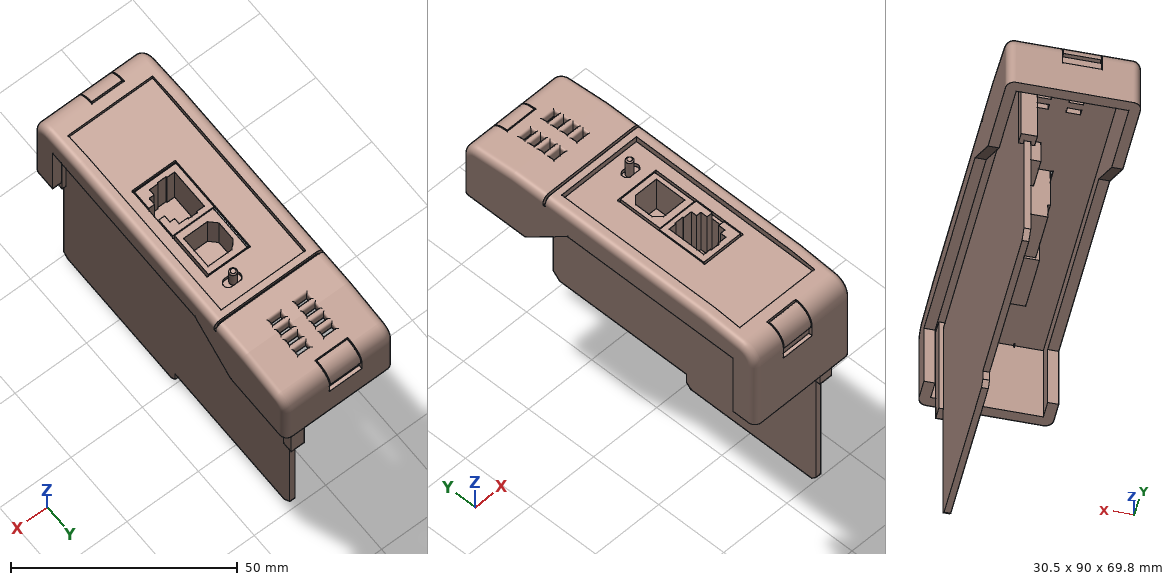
import cadquery as cq
import math


WIDTH = 30.5
LENGTH = 90.0
TOP_Z = 67.3
EDGE_FILLET = 2.0
WALL = 2.5
ROOF_SKIN = 1.0
FRONT_SKIRT_Z = 42.3
BACK_SKIRT_Z = 49.6
SIDE_EDGE_Z = 60.2
FRONT_SKIRT_Y = -38.2
RISE_TOP_Y = 12.7
RISE_BOTTOM_Y = 25.6
FLAT_HALF = 29.8
FRONT_CORNER_Z = 66.1
BACK_CORNER_Z = 65.8
FRONT_RADIUS = 5.0
BACK_RADIUS = 4.05

PANEL_DEPTH = 1.6
PANEL_WIDTH = 23.7
PANEL_BACK_Y = 17.7
PANEL_FRONT_Y = -37.0
PANEL_Z = TOP_Z - PANEL_DEPTH
ROOF_UNDER_Z = PANEL_Z - ROOF_SKIN

GROOVE_FRONT_Y = 19.5
GROOVE_BACK_Y = 20.2
GROOVE_DEPTH = 1.0
GROOVE_BOTTOM_Z = 64.8

CLIP_X = -1.7
CLIP_WIDTH = 9.1
CLIP_GAP = 0.3
CLIP_DEPTH = 1.0
CLIP_WINDOW = 3.15
FRONT_CLIP_Y = -40.0
FRONT_TONGUE_Y = -40.4
BACK_CLIP_Y = 39.9
BACK_TONGUE_Y = BACK_CLIP_Y + CLIP_GAP

WINDOW_LONG = 3.2
WINDOW_SHORT = 1.35
WINDOW_FILLET = 0.5
WINDOW_RIM_DROP = 0.8
WINDOW_MARGIN = 0.1
WINDOW_ROWS = 4
WINDOW_ROW_PITCH = 3.0
WINDOW_FIRST_Y = 35.8
WINDOW_COLUMNS_X = (-3.9, 3.4)

CARD_X = 9.0
CARD_THICKNESS = 1.5
CARD_FRONT_Y = -40.2
CARD_BACK_Y = 40.6
CARD_TOP_Z = 63.0
CARD_STEP_Y = -0.4
CARD_STEP_Z = 4.05
CARD_BACK_CHAMFER = 2.0
CARD_CHAMFER = 1.35

GUIDE_WIDTH = 3.7
GUIDE_OUTER_Y = LENGTH / 2 - WALL
FRONT_GUIDE_THICKNESS = 3.1
BACK_GUIDE_THICKNESS = 2.8
GUIDE_BOTTOM_Z = 35.55

SWITCH_X = 4.9
SWITCH_Y = 12.8
SWITCH_SIZE = 7.3
SWITCH_BOTTOM_Z = 58.3
STEM_X = 4.6
STEM_DIAMETER = 2.0
STEM_TOP_Z = 69.75
STEM_CHAMFER = 0.4
SLOT_LENGTH = 4.8
SLOT_WIDTH = 2.5

OPENING_LEFT_X = -3.3
OPENING_RIGHT_X = 8.8
OPENING_FRONT_Y = -18.0
OPENING_BACK_Y = 8.8

SQUARE_LEFT_X = -2.7
SQUARE_RIGHT_X = 8.2
SQUARE_FRONT_Y = -3.6
SQUARE_BACK_Y = 8.55
SQUARE_BOTTOM_Z = 49.3
SQUARE_STEP_Z = 53.5
SQUARE_STEP = 0.5
SQUARE_PORT_LEFT_X = -1.4
SQUARE_PORT_RIGHT_X = 7.0
SQUARE_PORT_FRONT_Y = -1.8
SQUARE_PORT_BACK_Y = 6.9
SQUARE_PORT_CHAMFER = 1.8
SQUARE_PORT_DEPTH = 9.9

JACK_LEFT_X = -3.1
JACK_RIGHT_X = 8.55
JACK_FRONT_Y = -17.5
JACK_BACK_Y = -3.8
JACK_BOTTOM_Z = 48.9
JACK_PORT_Y = -10.5
JACK_PORT_LEFT_X = -1.4
JACK_PORT_DEPTH = 12.6
JACK_PORT_STEPS = ((0.7, 5.3), (3.15, 5.6), (5.6, 5.3), (6.9, 3.7), (JACK_RIGHT_X, 1.8))


def box(x0, x1, y0, y1, z0, z1):
    """Axis-aligned box between opposite corners."""
    return cq.Workplane("XY").box(x1 - x0, y1 - y0, z1 - z0, centered=False).translate((x0, y0, z0))


def profile_block(inset):
    """Rounded side outline of the housing, moved inwards by `inset`, extruded over its width."""
    half = LENGTH / 2
    corner_points = [
        (-half, FRONT_SKIRT_Z),
        (half, FRONT_SKIRT_Z),
        (half, BACK_CORNER_Z),
        (FLAT_HALF, TOP_Z),
        (-FLAT_HALF, TOP_Z),
        (-half, FRONT_CORNER_Z),
    ]
    block = cq.Workplane("YZ").polyline(corner_points).close().extrude(WIDTH / 2, both=True)
    block = block.edges(cq.NearestToPointSelector((0, -half, FRONT_CORNER_Z))).fillet(FRONT_RADIUS)
    block = block.edges(cq.NearestToPointSelector((0, half, BACK_CORNER_Z))).fillet(BACK_RADIUS)
    if inset:
        outline = block.faces("<X").wires().val().offset2D(-inset)[0]
        block = cq.Workplane(obj=cq.Solid.extrudeLinear(outline, [], cq.Vector(WIDTH, 0, 0)))
    return block


def outer_block():
    """Housing body before hollowing, with both sides rounded off."""
    block = profile_block(0)
    block = block.faces("<X or >X").edges("not(<Z)").fillet(EDGE_FILLET)
    side_opening = [
        (FRONT_SKIRT_Y, 0),
        (FRONT_SKIRT_Y, SIDE_EDGE_Z),
        (RISE_TOP_Y, SIDE_EDGE_Z),
        (RISE_BOTTOM_Y, BACK_SKIRT_Z),
        (LENGTH, BACK_SKIRT_Z),
        (LENGTH, 0),
    ]
    return block.cut(cq.Workplane("YZ").polyline(side_opening).close().extrude(WIDTH, both=True))


def cavity():
    """Hollow inside the walls and under the roof, open at the bottom."""
    x = WIDTH / 2 - WALL
    return box(-x, x, -GUIDE_OUTER_Y, GUIDE_OUTER_Y, 0, ROOF_UNDER_Z)


def guides():
    """Two posts inside the end walls that hold the edges of the card."""
    x0 = CARD_X + CARD_THICKNESS / 2 - GUIDE_WIDTH / 2
    x1 = x0 + GUIDE_WIDTH
    front_inner = -GUIDE_OUTER_Y + FRONT_GUIDE_THICKNESS
    back_inner = GUIDE_OUTER_Y - BACK_GUIDE_THICKNESS
    front = box(x0, x1, -GUIDE_OUTER_Y, front_inner, GUIDE_BOTTOM_Z, ROOF_UNDER_Z)
    back = box(x0, x1, back_inner, GUIDE_OUTER_Y, GUIDE_BOTTOM_Z, ROOF_UNDER_Z)
    return front.union(back)


def panel_recess():
    """Flat-bottomed rectangular recess in the roof."""
    x = PANEL_WIDTH / 2
    return box(-x, x, PANEL_FRONT_Y, PANEL_BACK_Y, PANEL_Z, TOP_Z)


def roof_groove():
    """Narrow groove across the roof that runs a short way down both sides."""
    core_x = WIDTH / 2 - GROOVE_DEPTH
    core = box(-core_x, core_x, GROOVE_FRONT_Y, GROOVE_BACK_Y, 0, TOP_Z - GROOVE_DEPTH)
    core = core.edges("|Y and >Z").fillet(EDGE_FILLET - GROOVE_DEPTH)
    band = box(-WIDTH, WIDTH, GROOVE_FRONT_Y, GROOVE_BACK_Y, GROOVE_BOTTOM_Z, TOP_Z)
    return band.cut(core)


def corner_tangent_z(corner_z, radius):
    """Height where an end rounding runs into the vertical end wall."""
    slope = math.atan((TOP_Z - corner_z) / (LENGTH / 2 - FLAT_HALF))
    return corner_z - radius * math.tan((math.pi / 2 - slope) / 2)


def clip_recess(clip_y, tongue_y, tangent_z):
    """Recess over an end rounding that leaves a flush tongue between narrow gaps."""
    end_y = math.copysign(LENGTH, clip_y)
    x0 = CLIP_X - CLIP_WIDTH / 2
    x1 = CLIP_X + CLIP_WIDTH / 2
    recess = box(x0, x1, min(clip_y, end_y), max(clip_y, end_y), tangent_z - CLIP_WINDOW, TOP_Z)
    tongue = box(x0 + CLIP_GAP, x1 - CLIP_GAP, min(tongue_y, end_y), max(tongue_y, end_y), tangent_z, TOP_Z)
    return recess.cut(tongue).cut(profile_block(CLIP_DEPTH))


def cut_windows(body):
    """Indicator windows through the roof, with rounded rims."""
    centres = [
        (x, WINDOW_FIRST_Y - row * WINDOW_ROW_PITCH)
        for x in WINDOW_COLUMNS_X
        for row in range(WINDOW_ROWS)
    ]
    holes = (
        cq.Workplane("XY").workplane(offset=ROOF_UNDER_Z).pushPoints(centres)
        .rect(WINDOW_LONG, WINDOW_SHORT).extrude(TOP_Z)
    )
    body = body.cut(holes)
    for x, y in centres:
        half_x = WINDOW_LONG / 2 + WINDOW_MARGIN
        half_y = WINDOW_SHORT / 2 + WINDOW_MARGIN
        rim = cq.selectors.BoxSelector(
            (x - half_x, y - half_y, TOP_Z - WINDOW_RIM_DROP), (x + half_x, y + half_y, TOP_Z + WINDOW_MARGIN)
        )
        body = body.edges(rim).fillet(WINDOW_FILLET)
    return body


def make_card():
    """Upright card with bevelled lower corners and a deeper front half."""
    outline = [
        (CARD_FRONT_Y, CARD_TOP_Z),
        (CARD_FRONT_Y, CARD_CHAMFER),
        (CARD_FRONT_Y + CARD_CHAMFER, 0),
        (CARD_STEP_Y - CARD_CHAMFER, 0),
        (CARD_STEP_Y, CARD_CHAMFER),
        (CARD_STEP_Y, CARD_STEP_Z),
        (CARD_BACK_Y - CARD_BACK_CHAMFER, CARD_STEP_Z),
        (CARD_BACK_Y, CARD_STEP_Z + CARD_BACK_CHAMFER),
        (CARD_BACK_Y, CARD_TOP_Z),
    ]
    return cq.Workplane("YZ").workplane(offset=CARD_X).polyline(outline).close().extrude(CARD_THICKNESS)


def make_housing(card):
    """Hollow housing with its openings, and guides slotted for the card."""
    body = outer_block().cut(cavity())
    body = cut_windows(body)
    body = body.cut(panel_recess()).cut(roof_groove())
    front_z = corner_tangent_z(FRONT_CORNER_Z, FRONT_RADIUS)
    back_z = corner_tangent_z(BACK_CORNER_Z, BACK_RADIUS)
    body = body.cut(clip_recess(FRONT_CLIP_Y, FRONT_TONGUE_Y, front_z))
    body = body.cut(clip_recess(BACK_CLIP_Y, BACK_TONGUE_Y, back_z))
    opening = box(
        OPENING_LEFT_X, OPENING_RIGHT_X, OPENING_FRONT_Y, OPENING_BACK_Y, ROOF_UNDER_Z, PANEL_Z
    )
    body = body.cut(opening)
    slot = (
        cq.Workplane("XY").workplane(offset=ROOF_UNDER_Z).center(SWITCH_X, SWITCH_Y)
        .slot2D(SLOT_LENGTH, SLOT_WIDTH).extrude(ROOF_SKIN)
    )
    return body.cut(slot).union(guides().cut(card))


def make_switch():
    """Switch block under the roof with its stem standing through the slot."""
    block = (
        cq.Workplane("XY").workplane(offset=SWITCH_BOTTOM_Z).center(SWITCH_X, SWITCH_Y)
        .rect(SWITCH_SIZE, SWITCH_SIZE).extrude(ROOF_UNDER_Z - SWITCH_BOTTOM_Z)
    )
    stem = (
        cq.Workplane("XY").workplane(offset=SWITCH_BOTTOM_Z).center(STEM_X, SWITCH_Y)
        .circle(STEM_DIAMETER / 2).extrude(STEM_TOP_Z - SWITCH_BOTTOM_Z)
        .faces(">Z").chamfer(STEM_CHAMFER)
    )
    return block.union(stem)


def make_square_socket():
    """Square socket with two bevelled port corners and a narrower lower part."""
    body = box(SQUARE_LEFT_X, SQUARE_RIGHT_X, SQUARE_FRONT_Y, SQUARE_BACK_Y, SQUARE_BOTTOM_Z, PANEL_Z)
    setback = box(
        SQUARE_LEFT_X, SQUARE_LEFT_X + SQUARE_STEP, SQUARE_FRONT_Y, SQUARE_BACK_Y,
        SQUARE_BOTTOM_Z, SQUARE_STEP_Z,
    )
    port = box(
        SQUARE_PORT_LEFT_X, SQUARE_PORT_RIGHT_X, SQUARE_PORT_FRONT_Y, SQUARE_PORT_BACK_Y,
        PANEL_Z - SQUARE_PORT_DEPTH, PANEL_Z,
    )
    port = port.edges("|Z and <X").chamfer(SQUARE_PORT_CHAMFER)
    return body.cut(setback).cut(port)


def make_jack():
    """Modular jack whose stepped port is open at the right side."""
    body = box(JACK_LEFT_X, JACK_RIGHT_X, JACK_FRONT_Y, JACK_BACK_Y, JACK_BOTTOM_Z, PANEL_Z)
    x0 = JACK_PORT_LEFT_X
    for x1, half in JACK_PORT_STEPS:
        step = box(x0, x1, JACK_PORT_Y - half, JACK_PORT_Y + half, PANEL_Z - JACK_PORT_DEPTH, PANEL_Z)
        body = body.cut(step)
        x0 = x1
    return body


card = make_card()
housing = make_housing(card)
switch = make_switch()
square_socket = make_square_socket()
jack = make_jack()

result = cq.Compound.makeCompound(
    [housing.val(), card.val(), switch.val(), square_socket.val(), jack.val()]
)